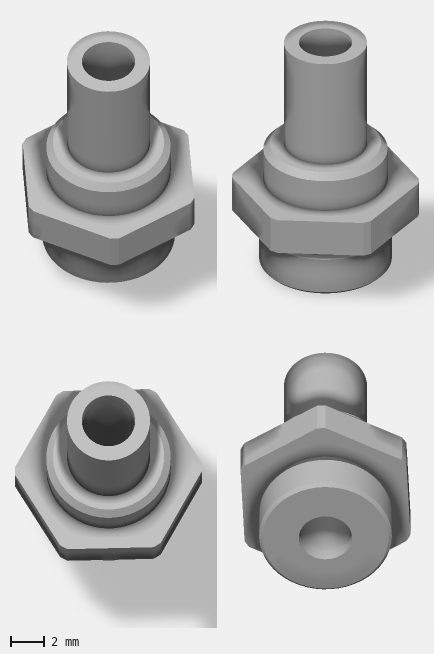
import cadquery as cq

total_height = 15.4
collar_top = 2.5
hex_bottom = 3.5
hex_top = 5.8
shoulder_top = 8.3

bore_diameter = 3.2
tube_diameter = 5.0
neck_diameter = 7.0
shoulder_diameter = 7.5
collar_diameter = 8.0

hex_across_flats = 10.0
hex_corner_diameter = 11.25

collar_chamfer = 0.2
shoulder_chamfer = 0.4


def cylinder(diameter, bottom, top):
    return cq.Workplane("XY").workplane(offset=bottom).circle(diameter / 2).extrude(top - bottom)


def hex_flange():
    prism = (
        cq.Workplane("XY")
        .workplane(offset=hex_bottom)
        .polygon(6, hex_across_flats, circumscribed=True)
        .extrude(hex_top - hex_bottom)
    )
    return prism.intersect(cylinder(hex_corner_diameter, hex_bottom, hex_top))


collar = cylinder(collar_diameter, 0, collar_top).faces("<Z").chamfer(collar_chamfer)
neck = cylinder(neck_diameter, collar_top, hex_bottom)
shoulder = cylinder(shoulder_diameter, hex_top, shoulder_top).faces(">Z").chamfer(shoulder_chamfer)
tube = cylinder(tube_diameter, shoulder_top, total_height)
bore = cylinder(bore_diameter, 0, total_height)

result = collar.union(neck).union(hex_flange()).union(shoulder).union(tube).cut(bore)